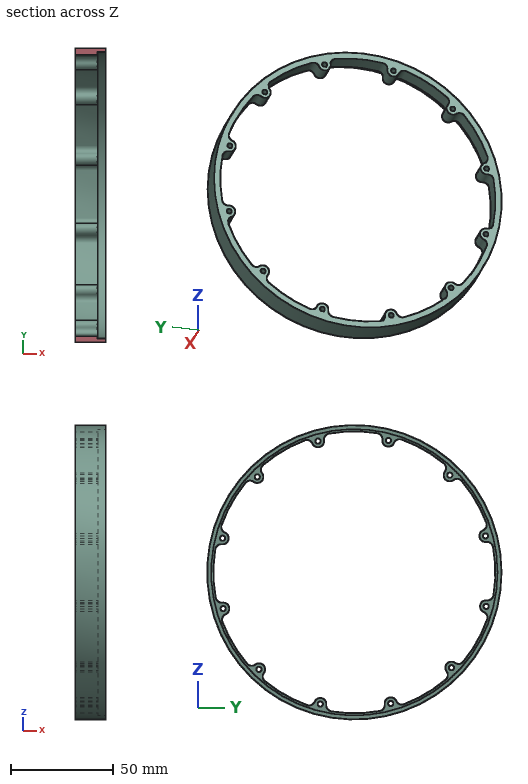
import cadquery as cq

outer_diameter = 144.0
inner_diameter = 137.7
width = 15.0

recess_diameter = 140.0
recess_depth = 4.0

boss_count = 12
boss_circle_radius = 66.5
boss_diameter = 6.0
boss_hole_diameter = 2.5
boss_fillet = 2.9
full_turn = 360.0
boss_pitch = full_turn / boss_count
pattern_twist = 0.5
first_boss_angle = boss_pitch / 2 + pattern_twist


def at_boss_centers():
    return cq.Workplane("YZ").polarArray(
        boss_circle_radius, first_boss_angle, full_turn, boss_count
    )


def disc(diameter, length, start_x=0.0):
    return cq.Workplane("YZ", origin=(start_x, 0, 0)).circle(diameter / 2).extrude(length)


def scalloped_opening():
    """Through opening that leaves the bosses standing, blended into the wall."""
    bosses = at_boss_centers().circle(boss_diameter / 2).extrude(width)
    opening = disc(inner_diameter, width).cut(bosses)
    return opening.edges("|X").fillet(boss_fillet)


ring = disc(outer_diameter, width).cut(scalloped_opening())
recess = disc(recess_diameter, recess_depth, width - recess_depth)
boss_holes = at_boss_centers().circle(boss_hole_diameter / 2).extrude(width)

result = ring.cut(recess).cut(boss_holes)